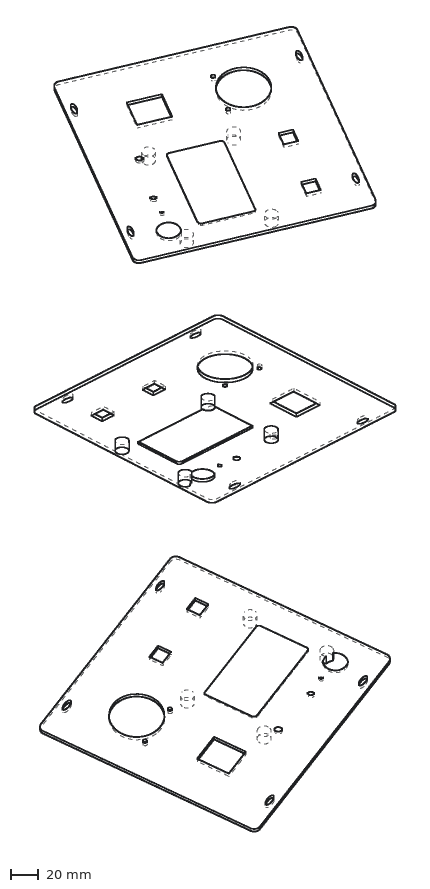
import cadquery as cq

PANEL_X = 190.0
PANEL_Y = 185.0
PANEL_THICKNESS = 3.0
PANEL_CORNER_RADIUS = 5.0

TOTAL_HEIGHT = 11.5
BOSS_HEIGHT = TOTAL_HEIGHT - PANEL_THICKNESS
BOSS_DIAMETER = 10.0
BOSS_PITCH_X = 87.5
BOSS_PITCH_Y = 64.8
BOSS_CENTRE = (33.6, -15.0)

SLOT_LENGTH = 10.0
SLOT_WIDTH = 4.0
SLOT_PITCH_X = 130.3
SLOT_PITCH_Y = 171.4
SLOT_CENTRE_X = -0.2

METER_CENTRE = (-47.5, 37.5)
METER_DIAMETER = 40.0
METER_SCREW_DIAMETER = 3.2
METER_SCREW_PITCH = 35.0
METER_SCREW_DROP = 17.5

BUTTON_X = 12.0
BUTTON_Y = 11.0
BUTTON_CENTRES = [(10.3, 52.5), (62.3, 52.5)]
POWER_SWITCH_X = 23.8
POWER_SWITCH_Y = 26.8
POWER_SWITCH_CENTRE = (-47.5, -34.2)

WINDOW_CENTRE = (34.2, -14.2)
WINDOW_X = 76.4
WINDOW_Y = 43.9
WINDOW_CORNER_RADIUS = 2.7
WINDOW_RIM_RADIUS = 2.0

CONTROL_HOLES = [
    (-4.4, -56.0, 6.0),
    (36.5, -58.9, 5.0),
    (52.5, -57.8, 3.0),
    (71.0, -58.7, 18.0),
]
CONTROL_RIM_RADIUS = 1.0

CUT_MARGIN = 1.9
CUT_DEPTH = TOTAL_HEIGHT + CUT_MARGIN


def plane_at(centre, z=0.0):
    """Horizontal workplane centred on a point of the panel."""
    return cq.Workplane("XY", origin=(centre[0], centre[1], z))


def panel():
    plate = cq.Workplane("XY").rect(PANEL_X, PANEL_Y).extrude(-PANEL_THICKNESS)
    return plate.edges("|Z").fillet(PANEL_CORNER_RADIUS)


def bosses():
    base = plane_at(BOSS_CENTRE, -PANEL_THICKNESS)
    corners = base.rect(BOSS_PITCH_X, BOSS_PITCH_Y, forConstruction=True).vertices()
    return corners.circle(BOSS_DIAMETER / 2).extrude(-BOSS_HEIGHT)


def fixing_slots():
    base = plane_at((SLOT_CENTRE_X, 0.0))
    corners = base.rect(SLOT_PITCH_X, SLOT_PITCH_Y, forConstruction=True).vertices()
    return corners.ellipse(SLOT_LENGTH / 2, SLOT_WIDTH / 2).extrude(-CUT_DEPTH)


def meter_holes():
    opening = plane_at(METER_CENTRE).circle(METER_DIAMETER / 2).extrude(-CUT_DEPTH)
    half_pitch = METER_SCREW_PITCH / 2
    screw_points = [(-half_pitch, -METER_SCREW_DROP), (half_pitch, -METER_SCREW_DROP)]
    screws = plane_at(METER_CENTRE).pushPoints(screw_points).circle(METER_SCREW_DIAMETER / 2)
    return opening.union(screws.extrude(-CUT_DEPTH))


def switch_openings():
    buttons = cq.Workplane("XY").pushPoints(BUTTON_CENTRES).rect(BUTTON_X, BUTTON_Y)
    power = plane_at(POWER_SWITCH_CENTRE).rect(POWER_SWITCH_X, POWER_SWITCH_Y)
    return buttons.extrude(-CUT_DEPTH).union(power.extrude(-CUT_DEPTH))


def display_window():
    opening = plane_at(WINDOW_CENTRE).rect(WINDOW_X, WINDOW_Y).extrude(-PANEL_THICKNESS)
    return opening.edges("|Z").fillet(WINDOW_CORNER_RADIUS)


def control_holes():
    holes = cq.Workplane("XY")
    for x, y, diameter in CONTROL_HOLES:
        holes = holes.union(plane_at((x, y)).circle(diameter / 2).extrude(-CUT_DEPTH))
    return holes


def round_rims(plate, radius, centres):
    """Round the top edges of the openings around the given centres."""
    for centre in centres:
        rim = plate.faces(">Z").wires(cq.selectors.NearestToPointSelector((*centre, 0.0)))
        plate = rim.fillet(radius)
    return plate


control_centres = [(x, y) for x, y, _ in CONTROL_HOLES]
plate = panel().cut(display_window()).cut(control_holes())
plate = round_rims(plate, WINDOW_RIM_RADIUS, [WINDOW_CENTRE])
plate = round_rims(plate, CONTROL_RIM_RADIUS, control_centres)

plate = plate.union(bosses()).cut(control_holes())
result = plate.cut(fixing_slots()).cut(meter_holes()).cut(switch_openings())